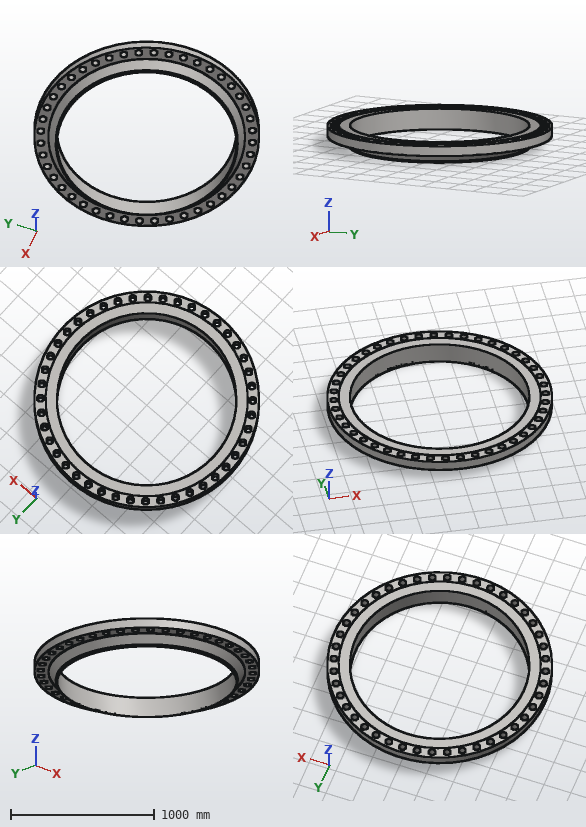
import cadquery as cq
import math

FLANGE_DIAMETER = 1568.45
BORE_DIAMETER = 1250.95
RAISED_FACE_DIAMETER = 1409.7
HUB_BASE_DIAMETER = 1371.6
WELD_END_DIAMETER = 1270.0

TOTAL_HEIGHT = 147.64
RAISED_FACE_HEIGHT = 1.59
FLANGE_THICKNESS = 69.85
WELD_END_HEIGHT = 12.7
HUB_SHOULDER_HEIGHT = 3.81

BEVEL_ANGLE = 37.5
LAND_WIDTH = 1.59

BOLT_COUNT = 44
BOLT_CIRCLE_DIAMETER = 1479.55
BOLT_HOLE_DIAMETER = 47.63

flange_top = TOTAL_HEIGHT - RAISED_FACE_HEIGHT
flange_bottom = flange_top - FLANGE_THICKNESS

bore_radius = BORE_DIAMETER / 2
weld_end_radius = WELD_END_DIAMETER / 2
land_radius = bore_radius + LAND_WIDTH
bevel_height = (weld_end_radius - land_radius) * math.tan(math.radians(BEVEL_ANGLE))


def make_body():
    """Revolve the half section, drawn on the -X side, around the Z axis."""
    section = [
        (bore_radius, 0),
        (land_radius, 0),
        (weld_end_radius, bevel_height),
        (weld_end_radius, WELD_END_HEIGHT),
        (HUB_BASE_DIAMETER / 2, flange_bottom - HUB_SHOULDER_HEIGHT),
        (HUB_BASE_DIAMETER / 2, flange_bottom),
        (FLANGE_DIAMETER / 2, flange_bottom),
        (FLANGE_DIAMETER / 2, flange_top),
        (RAISED_FACE_DIAMETER / 2, flange_top),
        (RAISED_FACE_DIAMETER / 2, TOTAL_HEIGHT),
        (bore_radius, TOTAL_HEIGHT),
    ]
    points = [(-radius, height) for radius, height in section]
    return cq.Workplane("XZ").polyline(points).close().revolve(360, (0, 0, 0), (0, 1, 0))


def make_bolt_holes():
    """Cylinders on the bolt circle, long enough to pass through the flange."""
    return (
        cq.Workplane("XY")
        .workplane(offset=flange_bottom)
        .polarArray(BOLT_CIRCLE_DIAMETER / 2, 0, 360, BOLT_COUNT)
        .circle(BOLT_HOLE_DIAMETER / 2)
        .extrude(FLANGE_THICKNESS)
    )


result = make_body().cut(make_bolt_holes())